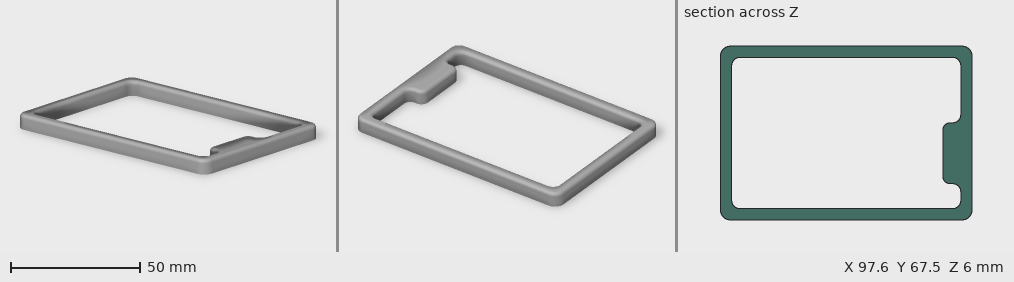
import cadquery as cq

length = 97.59
width = 67.47
height = 6.0
outer_corner_radius = 4.0
wall = 4.55

window_length = length - 2 * wall
window_width = width - 2 * wall
inner_corner_radius = 3.0

tab_reach = 6.95
tab_back_y = 4.05
tab_width = 23.75
tab_front_y = tab_back_y - tab_width
tab_corner_radius = 3.0

top_edge_radius = 1.5

selection_margin = 0.01


def make_window_cutter():
    """Solid filling the window, notched where the tab stands."""
    right = window_length / 2
    left = -right
    back = window_width / 2
    front = -back
    tab_tip = right - tab_reach

    cutter = (
        cq.Workplane("XY")
        .moveTo(left, front)
        .lineTo(right, front)
        .lineTo(right, tab_front_y)
        .lineTo(tab_tip, tab_front_y)
        .lineTo(tab_tip, tab_back_y)
        .lineTo(right, tab_back_y)
        .lineTo(right, back)
        .lineTo(left, back)
        .close()
        .extrude(height)
    )

    tab_tip_plane = cq.selectors.BoxSelector(
        (tab_tip - selection_margin, front, 0),
        (tab_tip + selection_margin, back, height),
    )
    vertical = cq.selectors.ParallelDirSelector(cq.Vector(0, 0, 1))
    cutter = cutter.edges(vertical - tab_tip_plane).fillet(inner_corner_radius)
    return cutter.edges(vertical & tab_tip_plane).fillet(tab_corner_radius)


def make_frame():
    """Rounded rectangular frame with the tab, all upper edges rounded."""
    plate = (
        cq.Workplane("XY")
        .rect(length, width)
        .extrude(height)
        .edges("|Z")
        .fillet(outer_corner_radius)
    )
    frame = plate.cut(make_window_cutter())
    return frame.faces(">Z").edges().fillet(top_edge_radius)


result = make_frame()